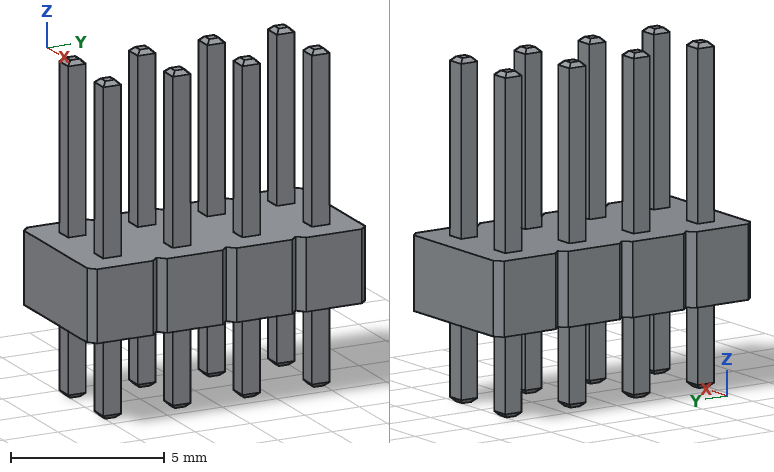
import cadquery as cq

pitch = 2.54
columns = 2
rows = 4

body_height = pitch
body_width = columns * pitch
corner_chamfer = 0.25

pin_width = 0.65
pin_length = 11.54
tail_length = 3.0
tip_chamfer = 0.15


def cell(y_center):
    """Body block for one row, with its four upright edges chamfered."""
    return (
        cq.Workplane("XY")
        .box(body_width, pitch, body_height, centered=(True, True, False))
        .edges("|Z")
        .chamfer(corner_chamfer)
        .translate((0, y_center, 0))
    )


def pin(x, y):
    """Square pin running through the body, chamfered at both ends."""
    return (
        cq.Workplane("XY")
        .box(pin_width, pin_width, pin_length, centered=(True, True, False))
        .faces("<Z or >Z")
        .chamfer(tip_chamfer)
        .translate((x, y, -tail_length))
    )


def centered_positions(count):
    """Pitch-spaced positions placed evenly about zero."""
    return [(i - (count - 1) / 2) * pitch for i in range(count)]


result = cq.Workplane("XY")
for y in centered_positions(rows):
    result = result.union(cell(y))
for y in centered_positions(rows):
    for x in centered_positions(columns):
        result = result.union(pin(x, y))